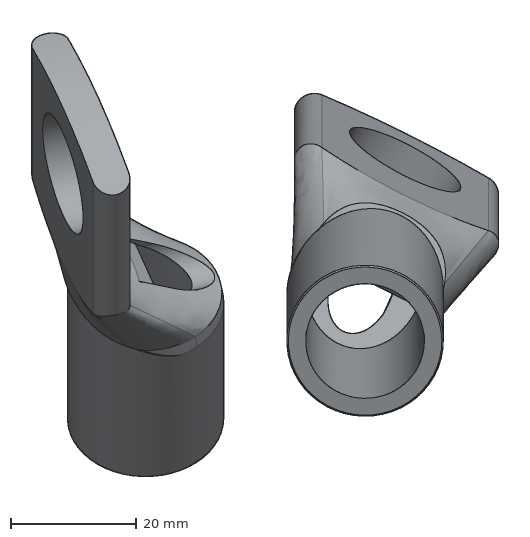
import cadquery as cq
import math

total_height = 80.7

barrel_radius = 12.5
bore_radius = 19.0 / 2
barrel_height = 28.25
end_chamfer = 0.25

palm_width = 36.0
palm_thickness = 6.05
palm_front = -14.0
palm_back = palm_front + palm_thickness
palm_mid = (palm_front + palm_back) / 2
edge_radius = palm_thickness / 2
flat_half_width = palm_width / 2 - edge_radius
palm_top_radius = 60.5
palm_hole_radius = 20.0 / 2
palm_hole_height = 64.65

palm_start = 42.8
palm_start_radius = 29.9

shoulder_radius = 12.2
shoulder_height = 30.5
back_corner_angle = 22.0
front_corner_angle = -30.0

lip_back = 1.5
lip_middle = (-6.1, 31.4)
lip_front_height = 36.6

window_radius = 10.0 / 2
window_bottom = 30.9
window_floor_back = -3.0
window_floor_top = 40.0
cavity_wall_start = 27.45
cavity_apex = 37.0
cavity_roof_end = 29.5

margin = 16.15


def palm_start_height(x):
    """Height of the palm's arched lower edge at a given X."""
    return palm_start + palm_start_radius - math.sqrt(palm_start_radius**2 - x**2)


def ring_edges(radius, height):
    """Circle split into back, left, front and right arcs."""
    corners = (
        back_corner_angle,
        180 - back_corner_angle,
        180 - front_corner_angle,
        360 + front_corner_angle,
        360 + back_corner_angle,
    )

    def point(angle):
        a = math.radians(angle)
        return cq.Vector(radius * math.cos(a), radius * math.sin(a), height)

    return [
        cq.Edge.makeThreePointArc(point(a), point((a + b) / 2), point(b))
        for a, b in zip(corners, corners[1:])
    ]


corner_height = palm_start_height(flat_half_width)
end_rise = palm_start_height(palm_width / 2) - corner_height


def rounded_end(side):
    """Half ellipse round one long edge of the palm; its plan is a half circle."""
    length = math.hypot(edge_radius, end_rise)
    return cq.Edge.makeEllipse(
        length,
        edge_radius,
        cq.Vector(side * flat_half_width, palm_mid, corner_height),
        cq.Vector(-side * end_rise, 0, edge_radius),
        cq.Vector(side * edge_radius, 0, end_rise),
        -90,
        90,
    )


def palm_arch(y, side):
    """Arched lower edge of one flat palm face, starting from the given side."""
    start = cq.Vector(side * flat_half_width, y, corner_height)
    end = cq.Vector(-side * flat_half_width, y, corner_height)
    return cq.Edge.makeThreePointArc(start, cq.Vector(0, y, palm_start), end)


def make_transition():
    """Ruled skin from the barrel, over the shoulder, to the palm outline."""
    base = ring_edges(barrel_radius, barrel_height)
    shoulder = ring_edges(shoulder_radius, shoulder_height)
    left_end = rounded_end(-1)
    right_end = rounded_end(1)
    outline = [palm_arch(palm_back, 1), left_end, palm_arch(palm_front, -1), right_end]
    faces = [
        cq.Face.makeRuledSurface(low, high)
        for lower, upper in ((base, shoulder), (shoulder, outline))
        for low, high in zip(lower, upper)
    ]
    faces.append(cq.Face.makeFromWires(cq.Wire.assembleEdges(base)))

    faces.append(cq.Face.makeRuledSurface(palm_arch(palm_back, 1), palm_arch(palm_front, 1)))
    for end in (left_end, right_end):
        chord = cq.Edge.makeLine(end.endPoint(), end.startPoint())
        faces.append(cq.Face.makeFromWires(cq.Wire.assembleEdges([end, chord])))
    return cq.Workplane(cq.Solid.makeSolid(cq.Shell.makeShell(faces)).fix())


def make_palm():
    """Rounded bar between an arched lower end and a crowned top."""
    bar = (
        cq.Workplane(origin=(0, palm_mid, 0))
        .slot2D(palm_width, palm_thickness)
        .extrude(total_height)
    )
    half_width = palm_width / 2
    end_height = corner_height + end_rise
    crown_drop = palm_top_radius - math.sqrt(palm_top_radius**2 - half_width**2)
    crown_end = total_height - crown_drop
    profile = (
        cq.Workplane("XZ", origin=(0, palm_mid, 0))
        .moveTo(-half_width, end_height)
        .lineTo(-flat_half_width, corner_height)
        .threePointArc((0, palm_start), (flat_half_width, corner_height))
        .lineTo(half_width, end_height)
        .lineTo(half_width, crown_end)
        .threePointArc((0, total_height), (-half_width, crown_end))
        .close()
        .extrude(palm_thickness, both=True)
    )
    return bar.intersect(profile)


def make_below_lip():
    """Space under the curved lip, in front of its back line."""
    front = palm_front - margin
    return (
        cq.Workplane("YZ")
        .moveTo(lip_back, barrel_height)
        .threePointArc(lip_middle, (palm_front, lip_front_height))
        .lineTo(front, lip_front_height)
        .lineTo(front, barrel_height)
        .close()
        .extrude(palm_width, both=True)
    )


def make_barrel(below_lip):
    tube = cq.Workplane().circle(barrel_radius).extrude(barrel_height)
    tube = tube.faces("<Z").edges().chamfer(end_chamfer)
    front_rise = (
        cq.Workplane(origin=(0, 0, barrel_height))
        .circle(barrel_radius)
        .extrude(margin)
        .intersect(below_lip)
    )
    return tube.union(front_rise)


def make_bore():
    """Round bore closing to a ridge on the barrel axis."""
    profile = [
        (-bore_radius, 0),
        (bore_radius, 0),
        (bore_radius, cavity_roof_end),
        (0, cavity_apex),
        (-bore_radius, cavity_wall_start),
    ]
    taper = cq.Workplane("YZ").polyline(profile).close().extrude(palm_width, both=True)
    return cq.Workplane().circle(bore_radius).extrude(total_height).intersect(taper)


def make_window():
    """Round-bottomed slot, open to the back and top, with a sloping floor."""
    centre = window_bottom + window_radius
    top = total_height
    slot = (
        cq.Workplane("XZ")
        .moveTo(-window_radius, top)
        .lineTo(-window_radius, centre)
        .threePointArc((0, window_bottom), (window_radius, centre))
        .lineTo(window_radius, top)
        .close()
        .extrude(margin * 2, both=True)
    )
    side = [
        (0, 0),
        (0, cavity_apex),
        (window_floor_back, window_floor_top),
        (window_floor_back, top),
        (margin, top),
        (margin, 0),
    ]
    return slot.intersect(
        cq.Workplane("YZ").polyline(side).close().extrude(palm_width, both=True)
    )


def make_palm_hole():
    return (
        cq.Workplane("XZ", origin=(0, palm_mid, palm_hole_height))
        .circle(palm_hole_radius)
        .extrude(palm_thickness, both=True)
    )


below_lip = make_below_lip()
result = (
    make_transition()
    .cut(below_lip)
    .union(make_palm())
    .union(make_barrel(below_lip))
    .cut(make_bore())
    .cut(make_window())
    .cut(make_palm_hole())
)